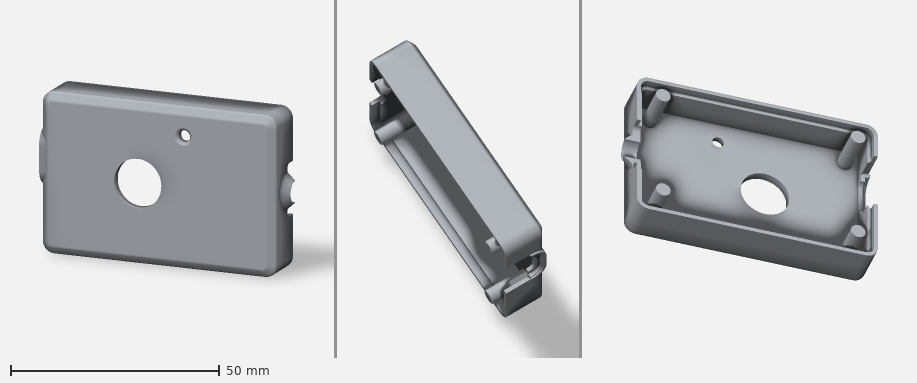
import cadquery as cq


overall_length = 63.4
body_width = 61.0
body_height = 40.35
body_depth = 11.55
corner_radius = 3.05
bevel_inset = 2.0
bevel_depth = 1.3
bevel_blend = 0.95
edge_tolerance = 0.0005
panel_thickness = 2.2
wall_thickness = 1.95
lip_thickness = 1.0
lip_depth = 2.1

left_wall = -body_width / 2
right_wall = body_width / 2

window_x = -5.1
window_radius = 6.15
screw_x = 6.8
screw_z = 12.85
screw_radius = 1.45
sink_radius = 2.1
sink_depth = sink_radius - screw_radius
sink_blend = 0.65

pin_radius = 1.85
pin_height = 1.5
pin_xs = (-25.0, 24.4)
pin_z = 14.5

port_z = 3.6
slot_width = 14.7
collar_height = 0.41
collar_width = 14.45
collar_front = 0.4
collar_back = 4.6
collar_radius = 4.05
rim = 0.75
recess_depth = 1.4
recess_step = 0.4
mouth_width = 9.2
mouth_front = 2.9
mouth_radius = 1.4

outlet_y = body_depth - 3.4
outlet_radius = 2.65
boss_height = overall_length - body_width - collar_height
boss_base_radius = 4.7
boss_flare_radius = 4.3
boss_flare_height = 0.3
boss_tip_radius = 2.85
notch_width = 13.2
notch_radius = 1.1


def panel_block(width, height, radius, start_y, end_y):
    """Rounded rectangular block standing on the panel, between two depths."""
    return (
        cq.Workplane("XZ", origin=(0, start_y, 0))
        .rect(width, height)
        .extrude(start_y - end_y)
        .edges("|Y")
        .fillet(radius)
    )


def panel_cylinder(x, z, radius, start_y, end_y):
    """Cylinder along Y between two depths."""
    return cq.Workplane("XZ", origin=(x, start_y, z)).circle(radius).extrude(start_y - end_y)


def front_rounded_block(width, front_y, back_y, start_x, end_x, radius):
    """Block centred on Z = 0 whose two front edges along X are rounded."""
    return (
        cq.Workplane("XY", origin=(start_x, front_y, 0))
        .box(end_x - start_x, back_y - front_y, width, centered=(False, False, True))
        .edges("|X and <Y")
        .fillet(radius)
    )


def port_block(width, front_y, back_y, start_x, end_x, radius):
    """Front-rounded block centred on the connector port."""
    return front_rounded_block(width, front_y, back_y, start_x, end_x, radius).translate((0, 0, port_z))


def make_cavity():
    """Inside of the shell, widened near the back to leave a thin lip."""
    parts = []
    for thickness, start_y in (
        (wall_thickness, panel_thickness),
        (lip_thickness, body_depth - lip_depth),
    ):
        parts.append(
            panel_block(
                body_width - 2 * thickness,
                body_height - 2 * thickness,
                corner_radius - thickness,
                start_y,
                body_depth,
            )
        )
    return parts[0].union(parts[1])


def make_body():
    """Rounded box whose panel edge has a bevel blended into both faces."""
    block = panel_block(body_width, body_height, corner_radius, 0, body_depth)
    block = block.faces("<Y").edges().chamfer(bevel_depth, bevel_inset)
    bevel_rims = [
        edge
        for edge in block.edges().vals()
        if edge.BoundingBox().ymax < body_depth / 2 and edge.BoundingBox().ylen < edge_tolerance
    ]
    return block.newObject(bevel_rims).fillet(bevel_blend)


def make_collar():
    """Raised U around the front of the connector opening, still solid inside."""
    return port_block(
        collar_width,
        collar_front,
        collar_back,
        left_wall - collar_height,
        left_wall + wall_thickness,
        collar_radius,
    )


def make_port_cut():
    """Recess inside the collar, its mouth and the open slot behind it."""
    outer_x = left_wall - collar_height
    inner_x = left_wall + wall_thickness
    recess_front = collar_front + rim
    recess_width = collar_width - 2 * rim
    recess_radius = collar_radius - rim

    recess = port_block(recess_width, recess_front, collar_back, outer_x, left_wall, recess_radius)
    lower_recess = port_block(
        recess_width - 2 * recess_step,
        recess_front + recess_step,
        collar_back,
        outer_x,
        outer_x + recess_depth,
        recess_radius - recess_step,
    )
    mouth = port_block(mouth_width, mouth_front, body_depth, outer_x, inner_x, mouth_radius)

    half = slot_width / 2
    taper = wall_thickness - lip_thickness
    slot = (
        cq.Workplane("XZ", origin=(0, collar_back, port_z))
        .moveTo(outer_x, half)
        .lineTo(left_wall + lip_thickness, half)
        .lineTo(inner_x, half - taper)
        .lineTo(inner_x, taper - half)
        .lineTo(left_wall + lip_thickness, -half)
        .lineTo(outer_x, -half)
        .close()
        .extrude(collar_back - body_depth)
    )
    return recess.union(lower_recess).union(mouth).union(slot)


def make_outlet_boss():
    """Flared half cone around the cable outlet, flat on its back side."""
    half_profile = (
        cq.Workplane("XZ", origin=(0, outlet_y, 0))
        .moveTo(right_wall - lip_thickness, 0)
        .lineTo(right_wall - lip_thickness, -boss_base_radius)
        .lineTo(right_wall, -boss_base_radius)
        .lineTo(right_wall + boss_flare_height, -boss_flare_radius)
        .lineTo(right_wall + boss_height, -boss_tip_radius)
        .lineTo(right_wall + boss_height, 0)
        .close()
    )
    return half_profile.revolve(180, (0, 0, 0), (-1, 0, 0))


def make_outlet_cut():
    """Half-round cable hole below a wide notch in the right wall."""
    inner_x = right_wall - wall_thickness
    outer_x = right_wall + boss_height
    hole = (
        cq.Workplane("YZ", origin=(inner_x, outlet_y, 0))
        .circle(outlet_radius)
        .extrude(outer_x - inner_x)
    )
    notch = front_rounded_block(notch_width, outlet_y, body_depth, inner_x, outer_x, notch_radius)
    return hole.union(notch)


def make_screw_cut():
    """Through hole with a 45 degree countersink in the panel."""
    return (
        cq.Workplane("XY", origin=(screw_x, 0, screw_z))
        .lineTo(sink_radius, 0)
        .lineTo(screw_radius, sink_depth)
        .lineTo(screw_radius, panel_thickness)
        .lineTo(0, panel_thickness)
        .close()
        .revolve(360, (0, 0, 0), (0, 1, 0))
    )


def blend_countersink(shell):
    """Round both rims of the countersink cone."""
    near = cq.selectors.BoxSelector(
        (screw_x - screw_radius, -screw_radius, screw_z - screw_radius),
        (screw_x + screw_radius, (sink_depth + panel_thickness) / 2, screw_z + screw_radius),
    )
    return shell.edges("%CIRCLE").edges(near).fillet(sink_blend)


result = make_body().cut(make_cavity())
result = result.union(make_collar()).cut(make_port_cut())
result = result.union(make_outlet_boss()).cut(make_outlet_cut())
result = result.cut(panel_cylinder(window_x, 0, window_radius, 0, panel_thickness))
result = blend_countersink(result.cut(make_screw_cut()))

pin_foot = panel_thickness / 2
for pin_x in pin_xs:
    for side in (-1, 1):
        pin = panel_cylinder(pin_x, side * pin_z, pin_radius, pin_foot, body_depth + pin_height)
        result = result.union(pin)